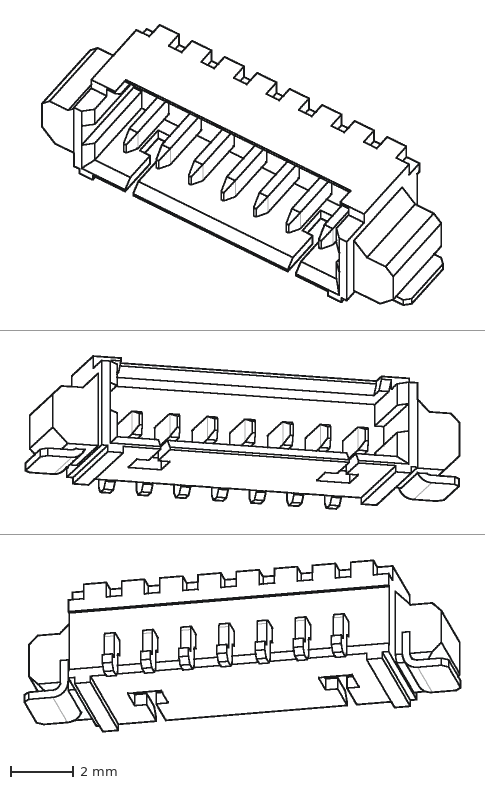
import cadquery as cq
import math


pin_count = 7
pin_pitch = 1.25
pin_width = 0.32

housing_width = 10.5
housing_depth = 4.2
housing_bottom = 0.21
housing_top = 3.4
side_wall = 0.6
floor_top = 0.6
ceiling = 3.0
cavity_back = 3.0
mouth_chamfer = 0.3
cavity_width = housing_width - 2 * side_wall
groove_bottom = 1.39
groove_top = 2.3

top_front = 1.0
top_notch_width = 8.65
top_notch_back = 1.61

pitches_to_slot = 2.5
slot_x = pitches_to_slot * pin_pitch
slot_width = 0.3
window_width = 1.1
window_front = 1.45
window_back = 2.5

crenel_width = 0.5
crenel_depth = 0.6
crenel_height = 0.5
crenel_end_x = (housing_width - crenel_width) / 2
rear_recess_depth = 0.13
rear_recess_bottom = 0.5
rear_recess_top = 2.5

rail_width = 0.51
rail_x = 4.78

ear_reach = 6.75
ear_front = 0.42
ear_back = 3.2
ear_bottom = 0.29
ear_top = 2.18
ear_top_chamfer = 0.29
ear_bottom_chamfer = 0.5
ear_shoulder = 0.5
ear_corner_cut = 0.21

blade_tip_y = 0.7
blade_taper = 0.5
blade_bottom = 0.96
blade_top = 1.72
tip_width = 0.1
tip_height = 0.38
tail_bottom = 0.9
tail_top = 1.4
leg_front = 4.36
leg_back = 4.89
pin_back = 5.2
foot_top = 0.5
outer_bend = 0.15
inner_bend = 0.2
foot_chamfer = 0.21
blade_back = 3.48

tab_reach = 6.95
tab_front = 1.0
tab_back = ear_back
tab_thickness = 0.25
tab_corner = 0.2
tab_plate_outer_x = 5.73
tab_inner_radius = 0.25
tab_height = 1.25

diagonal = math.sqrt(0.5)


def box(x_range, y_range, z_range):
    """Axis-aligned block between the given limits."""
    (x0, x1), (y0, y1), (z0, z1) = x_range, y_range, z_range
    return cq.Workplane("XY").box(x1 - x0, y1 - y0, z1 - z0, centered=False).translate((x0, y0, z0))


def centred_box(x_centre, width, y_range, z_range):
    return box((x_centre - width / 2, x_centre + width / 2), y_range, z_range)


def mirrored_pair(shape):
    """The shape and its mirror image across the middle plane X = 0."""
    return [shape, shape.mirror("YZ")]


def tapered_block(width, height, z_centre, end_width, end_height, y_start, y_end):
    """Rectangle at y_start blended to another rectangle at y_end, both centred on X = 0."""
    return (
        cq.Workplane("XZ", origin=(0, y_start, z_centre))
        .rect(width, height)
        .workplane(offset=y_start - y_end)
        .rect(end_width, end_height)
        .loft(ruled=True)
    )


def shell():
    """Solid housing block with its stepped front top and recessed rear face."""
    side_profile = [
        (0, housing_bottom),
        (housing_depth, housing_bottom),
        (housing_depth, rear_recess_bottom),
        (housing_depth - rear_recess_depth, rear_recess_bottom),
        (housing_depth - rear_recess_depth, rear_recess_top),
        (housing_depth, rear_recess_top),
        (housing_depth, housing_top),
        (top_front, housing_top),
        (top_front, ceiling),
        (0, ceiling),
    ]
    return cq.Workplane("YZ").polyline(side_profile).close().extrude(housing_width / 2, both=True)


def ear():
    """Ear on the +X side, rising to the housing wall with a 45-degree shoulder."""
    root = housing_width / 2
    embedded_root = root - side_wall / 2
    profile = [
        (embedded_root, ear_bottom),
        (ear_reach - ear_bottom_chamfer, ear_bottom),
        (ear_reach, ear_bottom + ear_bottom_chamfer),
        (ear_reach, ear_top - ear_top_chamfer),
        (ear_reach - ear_top_chamfer, ear_top),
        (root + ear_shoulder, ear_top),
        (root, ear_top + ear_shoulder),
        (embedded_root, ear_top + ear_shoulder),
    ]
    body = (
        cq.Workplane("XZ", origin=(0, ear_front, 0)).polyline(profile).close().extrude(ear_front - ear_back)
    )
    rear_corner = (
        cq.Workplane("YZ", origin=(root, 0, 0))
        .polyline(
            [
                (ear_back, ear_bottom),
                (ear_back - ear_corner_cut, ear_bottom),
                (ear_back, ear_bottom + ear_corner_cut),
            ]
        )
        .close()
        .extrude(ear_reach - root)
    )
    return body.cut(rear_corner)


def rail():
    """Low rail on the +X side that carries the housing on the board."""
    return centred_box(rail_x, rail_width, (0, housing_depth), (0, housing_bottom))


def cavity():
    """Mating cavity with its side grooves and the chamfered sides and floor of its mouth."""
    room = centred_box(0, cavity_width, (0, cavity_back), (floor_top, ceiling))
    groove_width = cavity_width + 2 * mouth_chamfer
    grooves = centred_box(0, groove_width, (0, cavity_back), (groove_bottom, groove_top))
    cavity_height = ceiling - floor_top
    mouth = tapered_block(
        groove_width,
        cavity_height + 2 * mouth_chamfer,
        (ceiling + floor_top) / 2,
        cavity_width,
        cavity_height,
        0,
        mouth_chamfer,
    )
    return room.union(grooves).union(mouth)


def top_wall_cut(width, y_edge):
    """Cuts the top wall back to y_edge over the given width, leaving a 45-degree chamfer underneath."""
    profile = [
        (0, ceiling),
        (y_edge + mouth_chamfer, ceiling),
        (y_edge, ceiling + mouth_chamfer),
        (y_edge, housing_top),
        (0, housing_top),
    ]
    return cq.Workplane("YZ").polyline(profile).close().extrude(width / 2, both=True)


def floor_slot(x_centre):
    """Slot from the mouth into a wider window in the floor."""
    through_floor = (housing_bottom, floor_top)
    slot = centred_box(x_centre, slot_width, (0, window_front), through_floor)
    window = centred_box(x_centre, window_width, (window_front, window_back), through_floor)
    return slot.union(window)


def crenel(x_centre):
    """Notch in the rear top edge, above a pin or at a corner."""
    return centred_box(
        x_centre,
        crenel_width,
        (housing_depth - crenel_depth, housing_depth),
        (housing_top - crenel_height, housing_top),
    )


def make_pin(x_centre):
    """Bent pin: tapered blade in the cavity, tail through the rear wall, leg and foot behind it."""
    blade_middle = (blade_bottom + blade_top) / 2
    blade_height = blade_top - blade_bottom
    taper_end = blade_tip_y + blade_taper
    blade = centred_box(0, pin_width, (taper_end, blade_back), (blade_bottom, blade_top))
    tip = tapered_block(
        tip_width, tip_height, blade_middle, pin_width, blade_height, blade_tip_y, taper_end
    )
    outer_sag = outer_bend * (1 - diagonal)
    inner_sag = inner_bend * (1 - diagonal)
    tail = (
        cq.Workplane("YZ")
        .moveTo(blade_back, tail_top)
        .lineTo(leg_back - outer_bend, tail_top)
        .threePointArc((leg_back - outer_sag, tail_top - outer_sag), (leg_back, tail_top - outer_bend))
        .lineTo(leg_back, foot_top)
        .lineTo(pin_back, foot_top)
        .lineTo(pin_back, foot_chamfer)
        .lineTo(pin_back - foot_chamfer, 0)
        .lineTo(leg_front + foot_chamfer, 0)
        .lineTo(leg_front, foot_chamfer)
        .lineTo(leg_front, tail_bottom - inner_bend)
        .threePointArc(
            (leg_front - inner_sag, tail_bottom - inner_sag), (leg_front - inner_bend, tail_bottom)
        )
        .lineTo(blade_back, tail_bottom)
        .close()
        .extrude(pin_width / 2, both=True)
    )
    return blade.union(tip).union(tail).translate((x_centre, 0, 0))


def make_tab():
    """Solder tab on the +X side: flat foot, bent up into a plate held inside the ear."""
    plate_inner_x = tab_plate_outer_x - tab_thickness
    bend_x = tab_plate_outer_x + tab_inner_radius
    outer_radius = tab_inner_radius + tab_thickness
    bent_strip = (
        cq.Workplane("XZ", origin=(0, tab_front, 0))
        .moveTo(tab_reach, 0)
        .lineTo(bend_x, 0)
        .threePointArc(
            (bend_x - outer_radius * diagonal, outer_radius * (1 - diagonal)), (plate_inner_x, outer_radius)
        )
        .lineTo(plate_inner_x, tab_height)
        .lineTo(tab_plate_outer_x, tab_height)
        .lineTo(tab_plate_outer_x, outer_radius)
        .threePointArc(
            (bend_x - tab_inner_radius * diagonal, outer_radius - tab_inner_radius * diagonal),
            (bend_x, tab_thickness),
        )
        .lineTo(tab_reach, tab_thickness)
        .close()
        .extrude(tab_front - tab_back)
    )
    return bent_strip.edges("|Z and >X").chamfer(tab_corner)


pin_places = [(i - (pin_count - 1) / 2) * pin_pitch for i in range(pin_count)]
pins = [make_pin(x) for x in pin_places]
tabs = mirrored_pair(make_tab())


def make_housing():
    housing = shell()
    for added in mirrored_pair(ear()) + mirrored_pair(rail()):
        housing = housing.union(added)
    housing = housing.cut(cavity())
    housing = housing.cut(top_wall_cut(cavity_width, top_front))
    housing = housing.cut(top_wall_cut(top_notch_width, top_notch_back))
    for x in (-slot_x, slot_x):
        housing = housing.cut(floor_slot(x))
    for x in [-crenel_end_x] + pin_places + [crenel_end_x]:
        housing = housing.cut(crenel(x))
    for insert in pins + tabs:
        housing = housing.cut(insert)
    return housing


housing = make_housing()
result = cq.Compound.makeCompound([housing.val()] + [body.val() for body in pins + tabs])